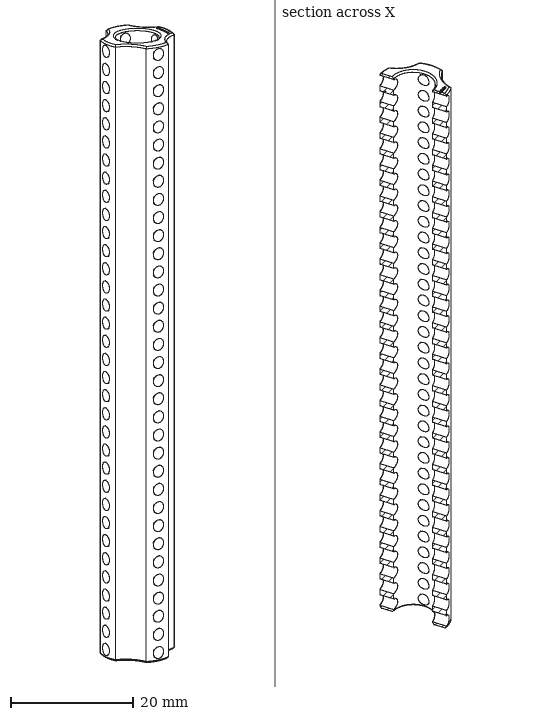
import cadquery as cq

length = 106.2
outer_diameter = 12.5
bore_diameter = 7.2
groove_radius = 5.0
groove_offset = 10.0
groove_count = 4
first_groove_angle = 45
end_chamfer = 0.3
hole_diameter = 2.0
hole_count = 34
mark_width = 3.2
mark_height = 0.3
mark_depth = 0.2
mark_offset = 5.1

outer_radius = outer_diameter / 2
hole_pitch = length / hole_count


def make_tube():
    """Tube with four lobes, left between round grooves on the diagonals."""
    tube = cq.Workplane("XY").circle(outer_radius).extrude(length)
    grooves = (
        cq.Workplane("XY")
        .polarArray(groove_offset, first_groove_angle, 360, groove_count)
        .circle(groove_radius)
        .extrude(length)
    )
    bore = cq.Workplane("XY").circle(bore_diameter / 2).extrude(length)
    return tube.cut(grooves).cut(bore)


def make_cross_holes(plane):
    """One row of holes through two opposite lobes."""
    return (
        cq.Workplane(plane)
        .center(0, length / 2)
        .rarray(1.1, hole_pitch, 1, hole_count)
        .circle(hole_diameter / 2)
        .extrude(outer_radius, both=True)
    )


def make_mark():
    """Shallow index slot in the top face of the +Y lobe."""
    return (
        cq.Workplane("XY", origin=(0, mark_offset, length))
        .rect(mark_width, mark_height)
        .extrude(-mark_depth)
    )


result = make_tube().faces("<Z or >Z").chamfer(end_chamfer)
for row_plane in ("XZ", "YZ"):
    result = result.cut(make_cross_holes(row_plane))
result = result.cut(make_mark())